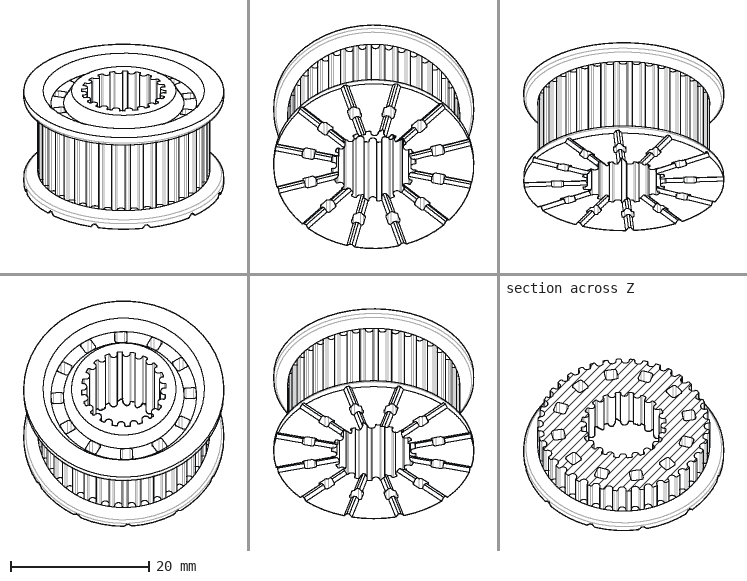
import cadquery as cq
import math


flange_radius = 14.48
body_height = 15.0
flange_height = 2.0
flange_cone_angle = 20.0
flange_edge_fillet = 0.5

tooth_round_radius = 0.55
rim_radius = 12.45
groove_count = 40
groove_depth = 0.78
groove_edge_radius = 0.2
bore_root_radius = 6.15
bore_tooth_count = 20
bore_tooth_depth = 0.78
bore_edge_radius = 0.15
tooth_overlap = 0.3

recess_inner_radius = 7.55
recess_outer_radius = 11.67
recess_depth = 2.0
recess_wall_angle = 30.0

spoke_count = 12
window_size = 1.77
window_corner_radius = 0.35
channel_mouth_width = 1.2
channel_roof_width = 0.38
channel_depth = 0.5

recess_taper = recess_depth * math.tan(math.radians(recess_wall_angle))
window_center_radius = (recess_inner_radius + recess_outer_radius) / 2
belt_width = body_height - 2 * flange_height


def make_body():
    """Solid spool with a conical, rounded-edge flange at each end."""
    cone_drop = (flange_radius - rim_radius) * math.tan(math.radians(flange_cone_angle))
    edge_height = flange_height - cone_drop
    outline = [
        (0, 0),
        (flange_radius, 0),
        (flange_radius, edge_height),
        (rim_radius, flange_height),
        (rim_radius, body_height - flange_height),
        (flange_radius, body_height - edge_height),
        (flange_radius, body_height),
        (0, body_height),
    ]
    spool = cq.Workplane("XZ").polyline(outline).close().revolve(360, (0, 0, 0), (0, 1, 0))
    rims = spool.edges(cq.selectors.RadiusNthSelector(-1))
    return rims.edges("not(<Z or >Z)").fillet(flange_edge_fillet)


def inward_teeth(base_radius, depth, edge_radius, count, height):
    """Ring of separate round-nosed prisms pointing inward from base_radius, flared at the base."""
    flare = tooth_round_radius + edge_radius
    base_x = math.sqrt(base_radius**2 - flare**2)
    back_x = base_radius + tooth_overlap
    flank_x = base_x - edge_radius
    nose_x = base_radius - depth
    nose_center_x = nose_x + tooth_round_radius
    flare_offset = edge_radius * (1 - math.sqrt(0.5))
    flare_x = base_x - flare_offset
    flare_y = tooth_round_radius + flare_offset
    tooth = (
        cq.Workplane("XY")
        .moveTo(back_x, -flare)
        .lineTo(base_x, -flare)
        .threePointArc((flare_x, -flare_y), (flank_x, -tooth_round_radius))
        .lineTo(nose_center_x, -tooth_round_radius)
        .threePointArc((nose_x, 0), (nose_center_x, tooth_round_radius))
        .lineTo(flank_x, tooth_round_radius)
        .threePointArc((flare_x, flare_y), (base_x, flare))
        .lineTo(back_x, flare)
        .close()
        .extrude(height)
        .val()
    )
    axis_start = cq.Vector(0, 0, 0)
    axis_end = cq.Vector(0, 0, 1)
    teeth = [tooth.rotate(axis_start, axis_end, i * 360 / count) for i in range(count)]
    return cq.Workplane("XY").newObject([cq.Compound.makeCompound(teeth)])


def make_bore():
    """Bore space: a cylinder with the inward teeth left standing."""
    cylinder = cq.Workplane("XY").circle(bore_root_radius).extrude(body_height)
    teeth = inward_teeth(
        bore_root_radius, bore_tooth_depth, bore_edge_radius, bore_tooth_count, body_height
    )
    return cylinder.cut(teeth)


def make_recess():
    """Ring that narrows downward between two conical walls."""
    floor_height = body_height - recess_depth
    outline = [
        (recess_inner_radius, body_height),
        (recess_inner_radius + recess_taper, floor_height),
        (recess_outer_radius - recess_taper, floor_height),
        (recess_outer_radius, body_height),
    ]
    return cq.Workplane("XZ").polyline(outline).close().revolve(360, (0, 0, 0), (0, 1, 0))


def make_windows():
    """Rounded square openings running the full height."""
    return (
        cq.Workplane("XY")
        .polarArray(window_center_radius, 0, 360, spoke_count)
        .rect(window_size, window_size)
        .extrude(body_height)
        .edges("|Z")
        .fillet(window_corner_radius)
    )


def make_channels():
    """Radial trapezoid channels across the bottom face, each spanning the full diameter."""
    outline = [
        (-channel_mouth_width / 2, 0),
        (channel_mouth_width / 2, 0),
        (channel_roof_width / 2, channel_depth),
        (-channel_roof_width / 2, channel_depth),
    ]
    channel = cq.Workplane("XZ").polyline(outline).close().extrude(flange_radius, both=True)
    channels = channel
    for i in range(1, spoke_count // 2):
        channels = channels.union(channel.rotate((0, 0, 0), (0, 0, 1), i * 360 / spoke_count))
    return channels


belt_grooves = inward_teeth(
    rim_radius, groove_depth, groove_edge_radius, groove_count, belt_width
).translate((0, 0, flange_height))

result = (
    make_body()
    .cut(belt_grooves)
    .cut(make_bore())
    .cut(make_recess())
    .cut(make_windows())
    .cut(make_channels())
)